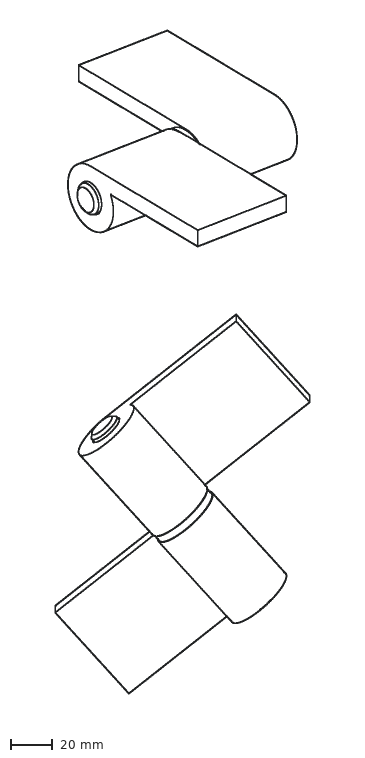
import cadquery as cq

span = 164.0
barrel_diameter = 35.0
plate_thickness = 9.0
leaf_length = 55.0
collar_width = 4.0
collar_diameter = 34.0
pin_diameter = 16.0
bore_diameter = 16.9
pin_protrusion = 3.1
pin_end_chamfer = 1.6

barrel_radius = barrel_diameter / 2
plate_reach = span / 2
pin_length = 2 * leaf_length + collar_width + 2 * pin_protrusion


def cylinder_on_axis(diameter, length, y_start):
    """Solid cylinder about the hinge axis, extending toward +Y from y_start."""
    plane = cq.Plane(origin=(0, y_start, 0), xDir=(1, 0, 0), normal=(0, 1, 0))
    return cq.Workplane(plane).circle(diameter / 2).extrude(length)


def make_leaf(side, y_start):
    """Barrel with a plate tangent to its top; side is +1 or -1 along X."""
    barrel = cylinder_on_axis(barrel_diameter, leaf_length, y_start)
    plate = cq.Workplane("XY").box(plate_reach, leaf_length, plate_thickness).translate((
        side * plate_reach / 2,
        y_start + leaf_length / 2,
        barrel_radius - plate_thickness / 2,
    ))
    bore = cylinder_on_axis(bore_diameter, leaf_length, y_start)
    return barrel.union(plate).cut(bore)


def make_pin():
    """Pin with chamfered ends and a central collar that keeps the leaves apart."""
    shaft = cylinder_on_axis(pin_diameter, pin_length, -pin_length / 2)
    shaft = shaft.faces("<Y or >Y").edges().chamfer(pin_end_chamfer)
    collar = cylinder_on_axis(collar_diameter, collar_width, -collar_width / 2)
    return shaft.union(collar)


front_leaf = make_leaf(1, -collar_width / 2 - leaf_length)
back_leaf = make_leaf(-1, collar_width / 2)
pin = make_pin()

result = cq.Compound.makeCompound([front_leaf.val(), back_leaf.val(), pin.val()])